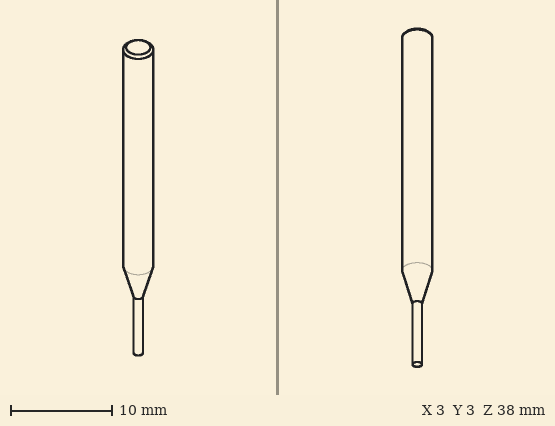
import cadquery as cq

TOTAL_LENGTH = 38.0
SHANK_DIAMETER = 3.0
TIP_DIAMETER = 0.95
POINT_HEIGHT = 0.15
TAPER_BOTTOM_Z = 7.15
TAPER_TOP_Z = 10.95
CHAMFER_SIZE = 0.3

shank_radius = SHANK_DIAMETER / 2
tip_radius = TIP_DIAMETER / 2


def revolve_profile(points):
    """Revolve a closed (radius, height) outline about the Z axis."""
    return cq.Workplane("XZ").polyline(points).close().revolve(360, (0, 0, 0), (0, 1, 0))


def make_shank():
    """Cylindrical shank with a chamfered top end and a taper down to the tip."""
    return revolve_profile([
        (0, TAPER_BOTTOM_Z),
        (tip_radius, TAPER_BOTTOM_Z),
        (shank_radius, TAPER_TOP_Z),
        (shank_radius, TOTAL_LENGTH - CHAMFER_SIZE),
        (shank_radius - CHAMFER_SIZE, TOTAL_LENGTH),
        (0, TOTAL_LENGTH),
    ])


def make_tip():
    """Slender cylindrical tip with a shallow conical point at its lower end."""
    return revolve_profile([
        (0, 0),
        (tip_radius, POINT_HEIGHT),
        (tip_radius, TAPER_BOTTOM_Z),
        (0, TAPER_BOTTOM_Z),
    ])


shank = make_shank()
tip = make_tip()

result = cq.Compound.makeCompound([shank.val(), tip.val()])